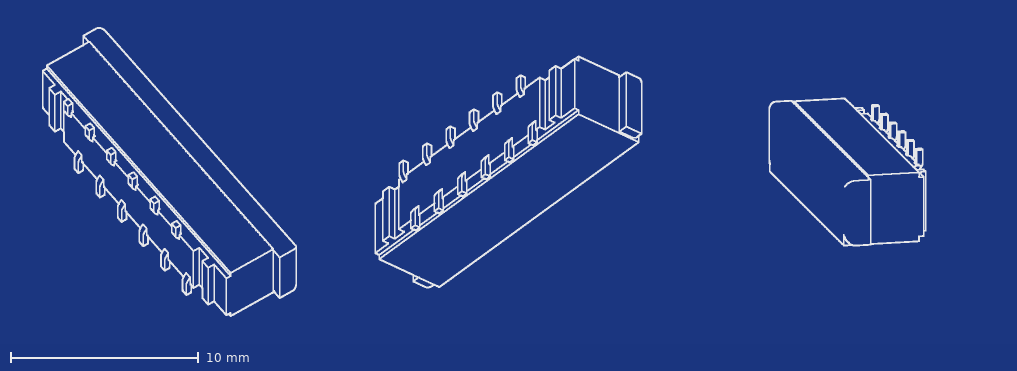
import cadquery as cq
import math


flange_width = 18.2
flange_height = 3.57
flange_depth = 1.33
flange_round = 0.5

body_width = 17.04
body_height = 3.79
shoulder_depth = 4.11
nose_height = 3.24
nose_depth = 4.39

pad_half_width = 6.0
rib_inner = 6.82
rib_outer = 7.37
raised_depth = 4.77

pin_width = 0.36
pin_thickness = 0.33
pin_front_depth = 5.0
pin_tip_height = 2.4
pin_count = 6
pin_pitch = 2.0
row_shift = pin_pitch / 4
pin_arm_length = 0.73
upper_bend_height = 1.71
lower_bend_height = 1.47
bend_radius = 0.36
bend_angle = 35.0


def block(x_min, x_max, depth_min, depth_max, z_min, z_max):
    """Box given by its limits, with depth measured forward from the rear face."""
    size = (x_max - x_min, depth_max - depth_min, z_max - z_min)
    corner = cq.Vector(x_min, -depth_max, z_min)
    return cq.Workplane("XY").box(*size, centered=False).translate(corner)


def centred_block(width, depth_min, depth_max, height):
    return block(-width / 2, width / 2, depth_min, depth_max, -height / 2, height / 2)


def make_flange():
    flange = centred_block(flange_width, 0, flange_depth, flange_height)
    return flange.faces(">Y").edges().fillet(flange_round)


def make_housing():
    """Main block, stepped nose and the floor strip that runs under the flange."""
    main = centred_block(body_width, flange_depth, shoulder_depth, body_height)
    nose = centred_block(body_width, flange_depth, nose_depth, nose_height)
    floor_top = -flange_height / 2 + flange_round
    floor = block(-body_width / 2, body_width / 2, 0, shoulder_depth, -body_height / 2, floor_top)
    return main.union(nose).union(floor)


def make_raised_faces():
    """Central pad with one rib on each side of it."""
    pad = centred_block(2 * pad_half_width, flange_depth, raised_depth, nose_height)
    half_height = nose_height / 2
    rib = block(rib_inner, rib_outer, flange_depth, raised_depth, -half_height, half_height)
    return pad.union(rib).union(rib.mirror("YZ"))


def make_pin(bend_height):
    """Upward pin centred on X = 0: vertical leg, bend, then an arm running into the housing."""
    inner_radius = bend_radius - pin_thickness
    centre_y = bend_radius - pin_front_depth
    turn = math.radians(bend_angle)

    def bend_point(radius, angle):
        return (centre_y - radius * math.cos(angle), bend_height - radius * math.sin(angle))

    def arm_end(radius):
        y, z = bend_point(radius, turn)
        return (y + pin_arm_length * math.sin(turn), z - pin_arm_length * math.cos(turn))

    profile = (
        cq.Workplane("YZ")
        .moveTo(-pin_front_depth, pin_tip_height)
        .lineTo(-pin_front_depth, bend_height)
        .threePointArc(bend_point(bend_radius, turn / 2), bend_point(bend_radius, turn))
        .lineTo(*arm_end(bend_radius))
        .lineTo(*arm_end(inner_radius))
        .lineTo(*bend_point(inner_radius, turn))
        .threePointArc(bend_point(inner_radius, turn / 2), bend_point(inner_radius, 0))
        .lineTo(pin_thickness - pin_front_depth, pin_tip_height)
        .close()
    )
    return profile.extrude(pin_width / 2, both=True)


def add_pin_row(part, pin, row_centre):
    for index in range(pin_count):
        x = row_centre + (index - (pin_count - 1) / 2) * pin_pitch
        part = part.union(pin.translate((x, 0, 0)))
    return part


upper_pin = make_pin(upper_bend_height)
lower_pin = make_pin(lower_bend_height).mirror("XY")

result = make_housing().union(make_flange()).union(make_raised_faces())
result = add_pin_row(result, upper_pin, -row_shift)
result = add_pin_row(result, lower_pin, row_shift)